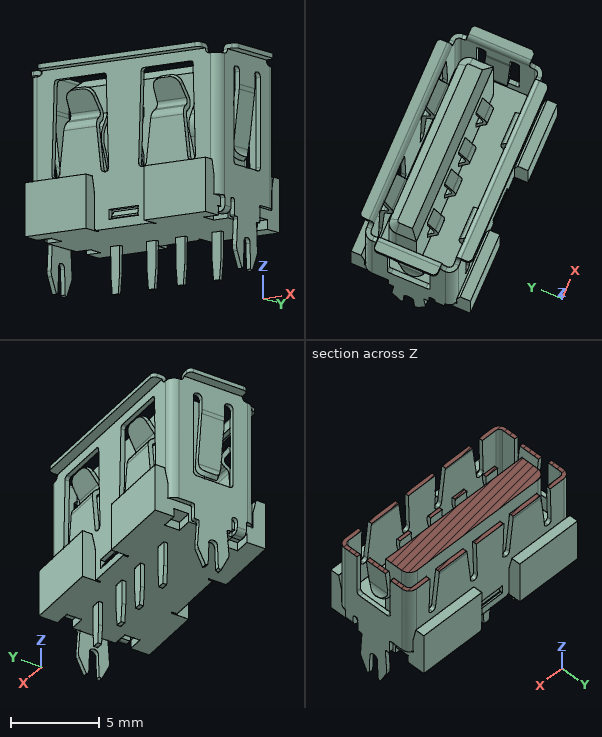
import cadquery as cq
import math


sheet = 0.3
shell_half_x = 6.56
shell_half_y = 2.85
corner_radius = 0.57
inner_half_x = shell_half_x - sheet
inner_half_y = shell_half_y - sheet
shell_bottom = 1.16
shell_top = 10.0

lip_half_x = 7.15
lip_half_y = 3.46
long_lip_half = 5.65
short_lip_half = 1.96
lip_corner = 0.29
neck_radius = 0.29
corner_top = shell_top - 2 * sheet

tongue_x = 3.0
opening_top, opening_bottom = 9.07, 3.35
opening_half_top, opening_half_bottom = 1.79, 1.97
tongue_half_root = 1.46
tongue_narrowing = 0.12
tongue_bend = 6.05
tongue_tip = 8.58
tongue_tip_radius = 0.6
tongue_dip, tongue_flare = 53, 33
tongue_dip_radius, tongue_flare_radius = 0.66, 0.31
tongue_dip_length, tongue_blade_length = 0.16, 1.39
opening_round = 0.2
slot_round_ratio = 0.48

window_half, window_bottom, window_top = 1.32, 3.13, 8.85
window_round = 0.23
side_tongue_half = 0.76
side_tongue_bend = 7.84
side_tongue_lean = 7.0
side_tongue_flare = 50.0
side_tongue_lean_radius, side_tongue_flare_radius = 2.23, 0.57
side_tongue_length, side_tongue_tip_length = 3.26, 0.09

tab_half = 1.26
tab_bottom = 0.13
tab_corner = 0.09
wall_bottom_round = 0.13
leg_half = 0.95
leg_bulge_half, leg_bulge_z = 1.06, -1.69
leg_bulge_radius = 0.63
leg_tip_outer, leg_tip_inner, leg_tip_slant = 0.51, 0.35, 0.11
pin_bottom = -2.8
leg_slot_half, leg_slot_top = 0.29, -0.92

hook_y, hook_width = -1.92, 0.61
hook_bottom = 0.25
hook_bend = 0.33

floor_top = 2.0
block_half_y = 7.4 / 2
block_top = 3.15
block_lip_y, block_slope_bottom = 3.06, 2.19
front_gap_half, back_gap_half = 2.02, 1.55
notch_y, notch_width, notch_height, notch_depth = 1.95, 0.99, 0.56, 1.0

snap_half, snap_bottom, snap_top = 1.0, 0.55, 1.12
snap_gap = 0.1
catch_edge = 0.7
catch_reach = 0.21
flap_chamfer = 0.09
catch_lift = 0.06

plate_half_x, plate_front, plate_back = 5.55, -0.05, 1.86
plate_corner = 0.65
plate_shoulder, plate_top = 9.07, 9.58
plate_top_half_x, plate_top_front, plate_top_back = 5.03, 0.41, 1.37
plate_top_corner = 0.15

inner_contact_x, outer_contact_x = 1.0, 3.5
contact_xs = (-outer_contact_x, -inner_contact_x, inner_contact_x, outer_contact_x)
contact_width, contact_thickness = 0.95, 0.26
contact_top, contact_bottom = 7.45, 3.88
contact_arc_top, contact_arc_bottom = 6.56, 5.25
contact_shoulder, contact_reach = 0.49, 0.67
pin_y, pin_thickness = 1.47, 0.26
pin_half, pin_tip_half, pin_taper_z = 0.31, 0.21, -1.6


def box(x0, x1, y0, y1, z0, z1):
    return cq.Workplane("XY").box(x1 - x0, y1 - y0, z1 - z0, centered=False).translate((x0, y0, z0))


def mirrored_x(solid):
    return solid.union(solid.mirror("YZ"))


def mirrored_y(solid):
    return solid.union(solid.mirror("XZ"))


def bent_strip(plane, start, rise, steps, half_width):
    """Sheet strip that starts flush with a wall and follows lines and bends.

    start is (distance from centre, height) on the outer face; rise is +1 upward, -1 downward.
    A step is (length, 0) for a line, or (outer face radius, degrees) for a bend;
    positive degrees turn outward.
    """
    outer, inner = [start], [(start[0] - sheet, start[1])]
    heading = 0.0

    def inward(angle):
        return -math.cos(angle), rise * math.sin(angle)

    def record(face_u, face_z, angle):
        normal_u, normal_z = inward(angle)
        outer.append((face_u, face_z))
        inner.append((face_u + sheet * normal_u, face_z + sheet * normal_z))

    for size, degrees in steps:
        u, z = outer[-1]
        if degrees == 0:
            record(u + size * math.sin(heading), z + rise * size * math.cos(heading), heading)
            continue
        turn = math.radians(degrees)
        radius = math.copysign(size, turn)
        normal_u, normal_z = inward(heading)
        centre_u, centre_z = u - radius * normal_u, z - radius * normal_z
        for angle in (heading + turn / 2, heading + turn):
            normal_u, normal_z = inward(angle)
            record(centre_u + radius * normal_u, centre_z + radius * normal_z, angle)
        heading += turn

    profile = cq.Workplane(plane).moveTo(*outer[0])
    index = 0
    for _, degrees in steps:
        if degrees:
            profile = profile.threePointArc(outer[index + 1], outer[index + 2])
            index += 2
        else:
            profile = profile.lineTo(*outer[index + 1])
            index += 1
    profile = profile.lineTo(*inner[index])
    for _, degrees in reversed(steps):
        if degrees:
            profile = profile.threePointArc(inner[index - 1], inner[index - 2])
            index -= 2
        else:
            profile = profile.lineTo(*inner[index - 1])
            index -= 1
    return profile.close().extrude(half_width, both=True)


def shell_body():
    height = corner_top - shell_bottom
    tube = cq.Workplane("XY").box(2 * shell_half_x, 2 * shell_half_y, height, centered=(True, True, False))
    tube = tube.edges("|Z").fillet(corner_radius)
    bore = cq.Workplane("XY").box(2 * inner_half_x, 2 * inner_half_y, height, centered=(True, True, False))
    bore = bore.edges("|Z").fillet(corner_radius - sheet)
    return tube.cut(bore).translate((0, 0, shell_bottom))


def lip(half_length, wall, reach):
    """Neck and outward lip on the +Y side, with the wall's outer face at y = wall."""
    inner = wall - sheet
    neck = (
        cq.Workplane("XZ")
        .moveTo(-half_length - neck_radius, corner_top)
        .radiusArc((-half_length, corner_top + neck_radius), -neck_radius)
        .lineTo(-half_length, shell_top)
        .lineTo(half_length, shell_top)
        .lineTo(half_length, corner_top + neck_radius)
        .radiusArc((half_length + neck_radius, corner_top), -neck_radius)
        .lineTo(half_length + neck_radius, corner_top - sheet)
        .lineTo(-half_length - neck_radius, corner_top - sheet)
        .close()
        .extrude(-sheet)
        .translate((0, inner, 0))
    )
    flange = box(-half_length, half_length, wall, reach, shell_top - sheet, shell_top)
    flange = flange.edges("|Z and >Y").fillet(lip_corner)
    bend_outside = box(-half_length, half_length, inner, wall, shell_top - sheet, shell_top)
    bend = cq.Workplane("YZ").center(wall, shell_top - sheet).circle(sheet).extrude(half_length, both=True)
    return neck.cut(bend_outside.cut(bend)).union(flange)


def lips():
    long_lip = lip(long_lip_half, shell_half_y, lip_half_y)
    short_lip = lip(short_lip_half, shell_half_x, lip_half_x).rotate((0, 0, 0), (0, 0, 1), -90)
    return mirrored_y(long_lip).union(mirrored_x(short_lip))


def tongue_half(height):
    return tongue_half_root - tongue_narrowing * (height - opening_bottom)


def tongue_opening():
    bend_half = tongue_half(tongue_bend)
    right = [
        (bend_half, tongue_bend),
        (tongue_half_root, opening_bottom),
        (opening_half_bottom, opening_bottom),
        (opening_half_top, opening_top),
    ]
    left = [(-x, z) for x, z in reversed(right)]
    slot_round = slot_round_ratio * (opening_half_bottom - tongue_half_root)
    opening = cq.Workplane("XZ").polyline(right + left).close().extrude(lip_half_y, both=True)
    opening = opening.edges("|Y").edges("<Z").fillet(slot_round)
    return opening.edges("|Y").edges(">Z").fillet(opening_round)


def long_wall_tongue():
    root = tongue_bend - sheet
    steps = [
        (sheet, 0),
        (tongue_dip_radius, -tongue_dip),
        (tongue_dip_length, 0),
        (tongue_flare_radius, tongue_dip + tongue_flare),
        (tongue_blade_length, 0),
    ]
    strip = bent_strip("YZ", (shell_half_y, root), 1, steps, tongue_half_root)
    outline = [
        (-tongue_half(root), root),
        (-tongue_half(tongue_tip), tongue_tip),
        (tongue_half(tongue_tip), tongue_tip),
        (tongue_half(root), root),
    ]
    blade = cq.Workplane("XZ").polyline(outline).close().extrude(lip_half_y, both=True)
    tongue = strip.intersect(blade)
    return tongue.faces(">Z").edges("not |X").fillet(tongue_tip_radius)


def side_window():
    right = [
        (side_tongue_half, side_tongue_bend),
        (side_tongue_half, window_top),
        (window_half, window_top),
        (window_half, window_bottom),
    ]
    left = [(-y, z) for y, z in reversed(right)]
    slot_round = slot_round_ratio * (window_half - side_tongue_half)
    window = cq.Workplane("YZ").polyline(right + left).close().extrude(lip_half_x, both=True)
    window = window.edges("|X").edges(">Z").fillet(slot_round)
    window = window.edges("|X").edges("<Z").fillet(window_round)
    solid_middle = box(-inner_half_x + sheet, inner_half_x - sheet, -window_half, window_half, 0, shell_top)
    return window.cut(solid_middle)


def side_tongue():
    root = side_tongue_bend + sheet
    steps = [
        (sheet, 0),
        (side_tongue_lean_radius, -side_tongue_lean),
        (side_tongue_length, 0),
        (side_tongue_flare_radius, side_tongue_lean + side_tongue_flare),
        (side_tongue_tip_length, 0),
    ]
    strip = bent_strip("XZ", (shell_half_x, root), -1, steps, side_tongue_half)
    half = side_tongue_half
    blade = (
        cq.Workplane("YZ")
        .moveTo(-half, shell_top)
        .lineTo(-half, half)
        .threePointArc((0, 0), (half, half))
        .lineTo(half, shell_top)
        .close()
        .extrude(shell_top, both=True)
    )
    tip = strip.faces("<Z").val().Center()
    blade = blade.rotate((0, 0, 0), (0, 1, 0), -side_tongue_flare)
    return strip.intersect(blade.translate((tip.x, 0, tip.z)))


def ground_leg():
    """Tab in the +X wall, carrying a leg with a tapered, split tip."""
    tab = box(inner_half_x, shell_half_x, -tab_half, tab_half, tab_bottom, shell_bottom)
    tab = tab.edges("|X and <Z").fillet(tab_corner)
    right = [
        (leg_half, tab_bottom + sheet),
        (leg_half, 0),
        (leg_bulge_half, leg_bulge_z),
        (leg_tip_outer, pin_bottom),
        (leg_tip_inner, pin_bottom + leg_tip_slant),
        (leg_slot_half, leg_slot_top - leg_slot_half),
    ]
    left = [(-y, z) for y, z in reversed(right)]
    leg = (
        cq.Workplane("YZ", origin=(inner_half_x, 0, 0))
        .polyline(right)
        .threePointArc((0, leg_slot_top), left[0])
        .polyline(left[1:], includeCurrent=True)
        .close()
        .extrude(sheet)
    )
    leg = leg.edges("|X and (>Y or <Y)").fillet(leg_bulge_radius)
    leg = tab.union(leg)
    for side in (-1, 1):
        leg = leg.union(corner_web(side * leg_half, side, tab_bottom, tab_corner))
    return leg


def corner_web(y, side, top, radius):
    """Concave fillet in the +X wall, below an edge at height top and beside an upright at y."""
    far = y + side * radius
    web = box(inner_half_x, shell_half_x, min(y, far), max(y, far), top - radius, top)
    round_cut = cq.Workplane("YZ").center(far, top - radius).circle(radius).extrude(shell_half_x)
    return web.cut(round_cut)


def wall_bottom_webs():
    """Fillets between the bottom edge of the +X wall and its tab and hook."""
    hook_near, hook_far = hook_y + hook_width / 2, hook_y - hook_width / 2
    slot_round = -(hook_near + tab_half) / 2
    webs = corner_web(tab_half, 1, shell_bottom, wall_bottom_round)
    webs = webs.union(corner_web(hook_far, -1, shell_bottom, wall_bottom_round))
    webs = webs.union(corner_web(-tab_half, -1, shell_bottom, slot_round))
    return webs.union(corner_web(hook_near, 1, shell_bottom, slot_round))


def hook():
    start = shell_bottom + sheet
    drop = start - hook_bottom - hook_bend
    steps = [(drop, 0), (hook_bend, -90), (sheet, 0)]
    strip = bent_strip("XZ", (shell_half_x, start), -1, steps, hook_width / 2)
    return strip.translate((0, hook_y, 0))


def centre_flap(gap_half):
    flap = box(-gap_half, gap_half, inner_half_y, shell_half_y, 0, shell_bottom)
    flap = flap.edges("|Y and <Z").chamfer(flap_chamfer)
    window = box(-snap_half, snap_half, inner_half_y, shell_half_y, snap_bottom, snap_top)
    return flap.cut(window)


def snap_catch():
    bottom, top = snap_bottom + catch_lift, snap_top - snap_gap
    profile = [
        (inner_half_y - sheet, bottom),
        (inner_half_y + catch_reach, bottom),
        (inner_half_y + catch_reach, catch_edge),
        (inner_half_y, top),
        (inner_half_y - sheet, top),
    ]
    half = snap_half - snap_gap
    return cq.Workplane("YZ").polyline(profile).close().extrude(half, both=True)


def corner_block(gap_half):
    """Standoff block beside the +Y wall on the +X side."""
    profile = [
        (inner_half_y - sheet, 0),
        (block_half_y, 0),
        (block_half_y, block_top),
        (block_lip_y, block_top),
        (shell_half_y, block_slope_bottom),
        (shell_half_y, shell_bottom),
        (inner_half_y - sheet, shell_bottom),
    ]
    block = cq.Workplane("YZ").polyline(profile).close().extrude(inner_half_x - gap_half)
    return block.translate((gap_half, 0, 0))


def housing():
    base = box(-inner_half_x, inner_half_x, -inner_half_y, inner_half_y, 0, floor_top)
    base = base.union(mirrored_x(corner_block(back_gap_half)))
    base = base.union(mirrored_x(corner_block(front_gap_half)).mirror("XZ"))
    y0 = notch_y - notch_width / 2
    notch = box(inner_half_x - notch_depth, inner_half_x, y0, y0 + notch_width, 0, notch_height)
    return base.cut(mirrored_x(mirrored_y(notch)))


def plate_outline(half_x, front, back, radius):
    outline = cq.Sketch().push([(0, (front + back) / 2)]).rect(2 * half_x, back - front).reset()
    return outline.vertices(">Y").fillet(radius)


def contact_plate():
    full = plate_outline(plate_half_x, plate_front, plate_back, plate_corner)
    top = plate_outline(plate_top_half_x, plate_top_front, plate_top_back, plate_top_corner)
    body = cq.Workplane("XY").placeSketch(full).extrude(plate_shoulder - floor_top)
    body = body.translate((0, 0, floor_top))
    rise = cq.Location(cq.Vector(0, 0, plate_top - plate_shoulder))
    crown = cq.Workplane("XY").placeSketch(full, top.moved(rise)).loft()
    return body.union(crown.translate((0, 0, plate_shoulder)))


def contact(x):
    arc_middle = (contact_arc_bottom + contact_arc_top) / 2
    shoulder, reach = plate_front - contact_shoulder, plate_front - contact_reach
    bow = (
        cq.Workplane("YZ")
        .moveTo(plate_front + contact_thickness, contact_bottom)
        .lineTo(plate_front, contact_bottom)
        .lineTo(shoulder, contact_arc_bottom)
        .threePointArc((reach, arc_middle), (shoulder, contact_arc_top))
        .lineTo(plate_front, contact_top)
        .lineTo(plate_front + contact_thickness, contact_top)
        .lineTo(shoulder + contact_thickness, contact_arc_top)
        .threePointArc(
            (reach + contact_thickness, arc_middle),
            (shoulder + contact_thickness, contact_arc_bottom),
        )
        .close()
        .extrude(contact_width / 2, both=True)
    )
    right = [(pin_half, floor_top / 2), (pin_half, pin_taper_z), (pin_tip_half, pin_bottom)]
    left = [(-u, z) for u, z in reversed(right)]
    pin = cq.Workplane("XZ").polyline(right + left).close().extrude(pin_thickness / 2, both=True)
    return bow.union(pin.translate((0, pin_y, 0))).translate((x, 0, 0))


shell = shell_body().union(lips())
for side in (-1, 1):
    shell = shell.cut(tongue_opening().translate((side * tongue_x, 0, 0)))
shell = shell.cut(side_window())
for side in (-1, 1):
    shell = shell.union(mirrored_y(long_wall_tongue()).translate((side * tongue_x, 0, 0)))
shell = shell.union(mirrored_x(side_tongue()))
shell = shell.union(mirrored_x(ground_leg())).union(mirrored_x(hook()))
shell = shell.union(mirrored_x(wall_bottom_webs()))
shell = shell.union(centre_flap(back_gap_half)).union(centre_flap(front_gap_half).mirror("XZ"))

result = housing().union(contact_plate()).union(mirrored_y(snap_catch()))
for contact_x in contact_xs:
    result = result.union(contact(contact_x))
result = result.union(shell)